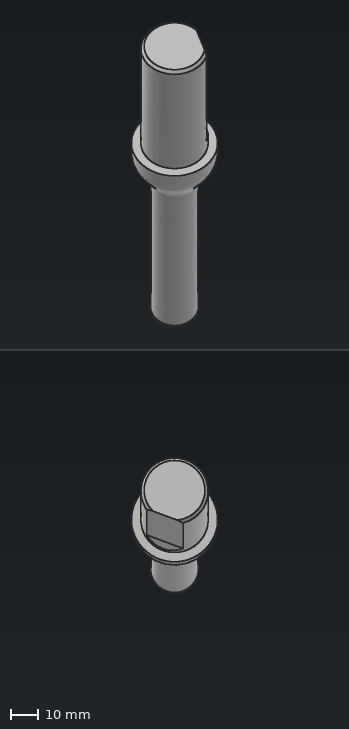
import cadquery as cq
import math

TOTAL_LENGTH = 153.0
SHANK_DIAMETER = 25.0
COLLAR_DIAMETER = 32.0
HEAD_DIAMETER = 17.6
NECK_DIAMETER = 17.5
RIM_DIAMETER = 17.9

RIM_LOW_Z = 0.9
RIM_HIGH_Z = 1.0
TIP_TOP_Z = 1.4
HEAD_TOP_Z = 10.1
RELIEF_BOTTOM_Z = 12.7
RELIEF_TAPER_Z = 45.0
GUIDE_BOTTOM_Z = 69.8
GUIDE_TOP_Z = 74.8
COLLAR_BOTTOM_Z = 91.5
COLLAR_TOP_Z = 97.0

SHOULDER_RADIUS = 10.0
FILLET_RADIUS = 7.0

SHANK_CHAMFER = 1.2
FLAT_DEPTH = 2.3
FLAT_BOTTOM_Z = 100.4
FLAT_RAMP_HEIGHT = FLAT_DEPTH

shank_radius = SHANK_DIAMETER / 2
collar_radius = COLLAR_DIAMETER / 2
head_radius = HEAD_DIAMETER / 2
neck_radius = NECK_DIAMETER / 2
rim_radius = RIM_DIAMETER / 2


def revolve_about_z(profile):
    """Turn a closed (radius, height) profile around the Z axis."""
    return profile.close().revolve(360, (0, 0, 0), (0, 1, 0))


def make_flat_cutter():
    """Prism that mills the +Y flat, with a 45 degree ramp at its lower end."""
    flat_y = shank_radius - FLAT_DEPTH
    return (
        cq.Workplane("YZ")
        .moveTo(shank_radius, FLAT_BOTTOM_Z)
        .lineTo(flat_y, FLAT_BOTTOM_Z + FLAT_RAMP_HEIGHT)
        .lineTo(flat_y, TOTAL_LENGTH)
        .lineTo(shank_radius, TOTAL_LENGTH)
        .close()
        .extrude(shank_radius, both=True)
    )


def polar(center, radius, angle):
    """Point at a distance and angle (radians) from a center."""
    return (center[0] + radius * math.cos(angle), center[1] + radius * math.sin(angle))


def add_bell(profile):
    """Continue the profile from the guide band to the collar with tangent arcs and a cone."""
    fillet_center = (head_radius + FILLET_RADIUS, GUIDE_TOP_Z)
    shoulder_center = (collar_radius - SHOULDER_RADIUS, COLLAR_BOTTOM_Z)
    inward = fillet_center[0] - shoulder_center[0]
    upward = shoulder_center[1] - fillet_center[1]
    radius_sum = FILLET_RADIUS + SHOULDER_RADIUS
    cone_angle = math.asin(radius_sum / math.hypot(inward, upward)) - math.atan2(inward, upward)
    return (
        profile
        .threePointArc(
            polar(fillet_center, FILLET_RADIUS, math.pi - cone_angle / 2),
            polar(fillet_center, FILLET_RADIUS, math.pi - cone_angle),
        )
        .lineTo(*polar(shoulder_center, SHOULDER_RADIUS, -cone_angle))
        .threePointArc(
            polar(shoulder_center, SHOULDER_RADIUS, -cone_angle / 2),
            (collar_radius, COLLAR_BOTTOM_Z),
        )
    )


def make_holder():
    """Head, relieved neck, guide band, bell transition, collar and flatted shank."""
    profile = (
        cq.Workplane("XZ")
        .moveTo(0, TIP_TOP_Z)
        .lineTo(head_radius, TIP_TOP_Z)
        .lineTo(head_radius, HEAD_TOP_Z)
        .lineTo(neck_radius, RELIEF_BOTTOM_Z)
        .lineTo(neck_radius, RELIEF_TAPER_Z)
        .lineTo(head_radius, GUIDE_BOTTOM_Z)
        .lineTo(head_radius, GUIDE_TOP_Z)
    )
    profile = (
        add_bell(profile)
        .lineTo(collar_radius, COLLAR_TOP_Z)
        .lineTo(shank_radius, COLLAR_TOP_Z)
        .lineTo(shank_radius, TOTAL_LENGTH - SHANK_CHAMFER)
        .lineTo(shank_radius - SHANK_CHAMFER, TOTAL_LENGTH)
        .lineTo(0, TOTAL_LENGTH)
    )
    return revolve_about_z(profile).cut(make_flat_cutter())


def make_cutting_tip():
    """Thin disc with a slightly wider cutting rim and a shallow conical point."""
    profile = (
        cq.Workplane("XZ")
        .lineTo(rim_radius, RIM_LOW_Z)
        .lineTo(rim_radius, RIM_HIGH_Z)
        .lineTo(head_radius, TIP_TOP_Z)
        .lineTo(0, TIP_TOP_Z)
    )
    return revolve_about_z(profile)


holder = make_holder()
cutting_tip = make_cutting_tip()
result = cq.Compound.makeCompound([holder.val(), cutting_tip.val()])